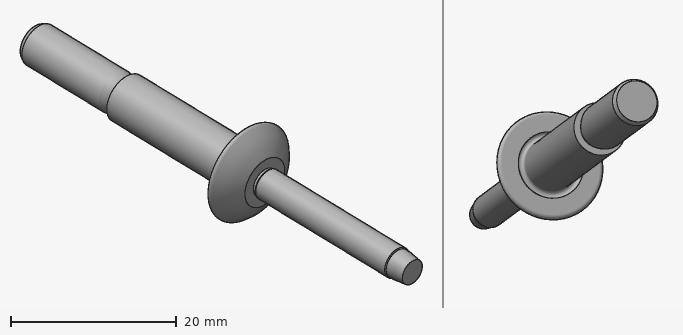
import cadquery as cq
import math

overall_length = 65.05

tail_radius = 2.85
tail_length = 14.0
tail_chamfer_length = 0.65
tail_chamfer_radius = 2.55
shoulder_end = 14.6
shoulder_radius = 2.7
sleeve_start = 15.7
tail_neck_radius = 2.4

sleeve_radius = 3.25
head_start = 36.3
head_end = 39.6
head_diameter = 13.35
rim_radius = 0.49
dome_center = 32.1
groove_outer_radius = 4.1

pin_radius = 2.1
pin_neck_radius = 1.95
pin_start = 40.1
pin_end = 62.4
tip_step_length = 0.1
tip_taper_start = 63.1
tip_end_radius = 1.7

groove_depth = (groove_outer_radius - sleeve_radius) / 2

rim_center_x = head_start + rim_radius
head_radius = head_diameter / 2
rim_center_r = head_radius - rim_radius
dome_offset = rim_center_x - dome_center
dome_radius = math.hypot(dome_offset, rim_center_r) + rim_radius
rim_angle = math.atan2(rim_center_r, dome_offset)
dome_end_radius = math.sqrt(dome_radius**2 - (head_end - dome_center) ** 2)
dome_end_angle = math.atan2(dome_end_radius, head_end - dome_center)
dome_mid_angle = (rim_angle + dome_end_angle) / 2


def arc_point(center_x, center_r, radius, angle):
    """Point on a profile arc, with the angle measured from +X."""
    return (center_x + radius * math.cos(angle), center_r + radius * math.sin(angle))


profile = (
    cq.Workplane("XY")
    .moveTo(0, 0)
    .lineTo(0, tail_chamfer_radius)
    .lineTo(tail_chamfer_length, tail_radius)
    .lineTo(tail_length, tail_radius)
    .lineTo(shoulder_end, shoulder_radius)
    .lineTo(sleeve_start, tail_neck_radius)
    .lineTo(sleeve_start, sleeve_radius)
    .lineTo(head_start, sleeve_radius)
    .threePointArc(
        (head_start + groove_depth, sleeve_radius + groove_depth),
        (head_start, groove_outer_radius),
    )
    .lineTo(head_start, rim_center_r)
    .threePointArc(
        (rim_center_x, head_radius),
        arc_point(rim_center_x, rim_center_r, rim_radius, rim_angle),
    )
    .threePointArc(
        arc_point(dome_center, 0, dome_radius, dome_mid_angle),
        (head_end, dome_end_radius),
    )
    .lineTo(head_end, pin_neck_radius)
    .lineTo(pin_start, pin_neck_radius)
    .lineTo(pin_start, pin_radius)
    .lineTo(pin_end, pin_radius)
    .lineTo(pin_end + tip_step_length, pin_neck_radius)
    .lineTo(tip_taper_start, pin_neck_radius)
    .lineTo(overall_length, tip_end_radius)
    .lineTo(overall_length, 0)
    .close()
)

result = profile.revolve(360, (0, 0, 0), (1, 0, 0))